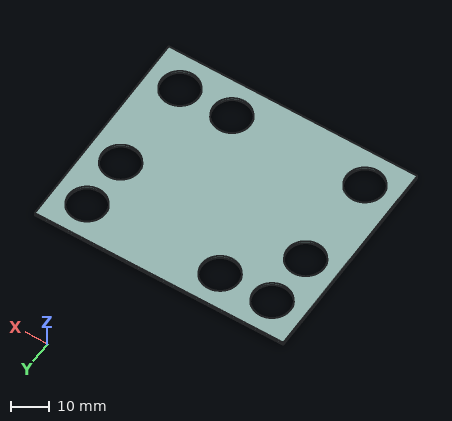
import cadquery as cq

length = 76.2
width = 63.5
thickness = 1.0

hole_diameter = 11.2
edge_distance = 9.75
hole_pitch = 15.9

corner_x = length / 2 - edge_distance
corner_y = width / 2 - edge_distance
inner_x = corner_x - hole_pitch
inner_y = corner_y - hole_pitch

corner_holes = [(sx * corner_x, sy * corner_y) for sx in (-1, 1) for sy in (-1, 1)]
side_holes = [(-corner_x, inner_y), (corner_x, inner_y)]
row_holes = [(-inner_x, corner_y), (inner_x, -corner_y)]

plate = cq.Workplane("XY").box(length, width, thickness)
result = (
    plate.faces(">Z")
    .workplane()
    .pushPoints(corner_holes + side_holes + row_holes)
    .hole(hole_diameter)
)